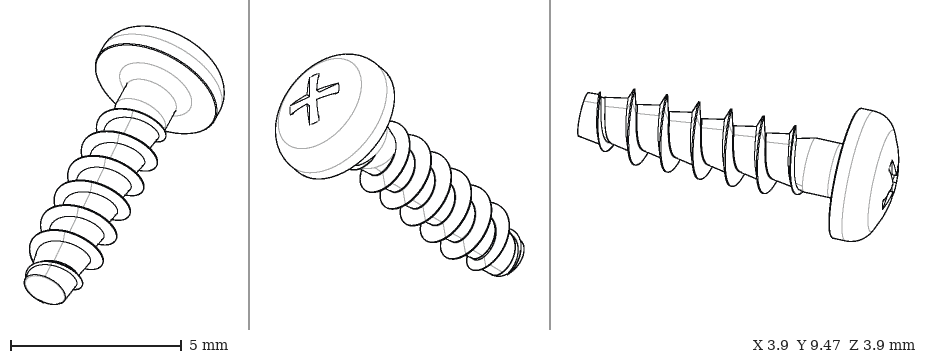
import cadquery as cq
import math


overall_length = 9.47

head_radius = 1.95
crown_height = 1.48
rim_height = 0.41
rim_chamfer = 0.03
shoulder_radius = 1.52
shoulder_height = 1.08
slot_width = 0.35
slot_depth = 0.13

neck_radius = 0.81
neck_length = 1.11
neck_fillet = 0.34
collar_length = 0.76
core_radius = 0.625
tip_cone_height = 0.02

six_pitches = 5.87
pitch = six_pitches / 6
crest_radius = 1.11
crest_width = 0.04
flank_width = 0.14
ramp_radius = 0.77
root_radius = core_radius + 0.02
inner_radius = core_radius - 0.19
ramp_reach = 0.805
crest_start_y = -1.39

first_turn = -0.75
last_turn = 6.75
full_height_first = 0.75
full_height_last = 5.25
start_height = 0.32
end_height = 0.02
full_ramp_share = 0.68
piece_turns = 0.5
steps_per_piece = 8

dome_rise = crown_height - shoulder_height
dome_radius = (shoulder_radius**2 + dome_rise**2) / (2 * dome_rise)


def dome_height(radius):
    """Height of the dome above the bearing face at a distance from the axis."""
    return crown_height - dome_radius + math.sqrt(dome_radius**2 - radius**2)


head_height = dome_height(slot_width / math.sqrt(2))
shank_length = overall_length - head_height


def make_blank():
    """Head, neck and core as one revolved solid."""
    dome_mid = shoulder_radius / 2
    fillet_mid = neck_fillet * (1 - math.sqrt(0.5))
    profile = (
        cq.Workplane("XY")
        .moveTo(0, -shank_length)
        .lineTo(core_radius, -shank_length + tip_cone_height)
        .lineTo(core_radius, -neck_length - collar_length)
        .lineTo(neck_radius, -neck_length)
        .lineTo(neck_radius, -neck_fillet)
        .threePointArc(
            (neck_radius + fillet_mid, -fillet_mid),
            (neck_radius + neck_fillet, 0),
        )
        .lineTo(head_radius - rim_chamfer, 0)
        .lineTo(head_radius, rim_chamfer)
        .lineTo(head_radius, rim_height)
        .tangentArcPoint((shoulder_radius, shoulder_height), relative=False)
        .threePointArc((dome_mid, dome_height(dome_mid)), (0, crown_height))
        .close()
    )
    return profile.revolve(360, (0, 0, 0), (0, 1, 0))


def make_slots():
    """Crossed slots over the crown of the head."""
    crown = cq.Workplane("XZ", origin=(0, crown_height, 0))
    first = crown.rect(slot_width, 2 * head_radius).extrude(slot_depth)
    second = crown.rect(2 * head_radius, slot_width).extrude(slot_depth)
    return first.union(second)


def thread_share(turn):
    """Share of the full thread height, fading at both ends of the helix."""
    if turn < full_height_first:
        progress = (turn - first_turn) / (full_height_first - first_turn)
        return start_height + (1 - start_height) * progress
    if turn > full_height_last:
        progress = (last_turn - turn) / (last_turn - full_height_last)
        return end_height + (1 - end_height) * progress
    return 1


def thread_section(turn):
    """Corners (axial offset toward the head, radius) of the thread section."""
    share = thread_share(turn)
    ramp_share = min(1, share / full_ramp_share)
    foot = flank_width * share
    half_crest = crest_width / 2 * share
    crest = root_radius + (crest_radius - root_radius) * share
    ramp = root_radius + (ramp_radius - root_radius) * ramp_share
    return [
        (foot, inner_radius),
        (foot, root_radius),
        (half_crest, crest),
        (-half_crest, crest),
        (-foot, ramp),
        (-ramp_reach, root_radius),
        (-ramp_reach, inner_radius),
    ]


def helix_point(turn, offset, radius):
    """Point on the helix, which runs from +X through +Z while moving to the tip."""
    angle = 2 * math.pi * turn
    y = crest_start_y - pitch * turn + offset
    return cq.Vector(radius * math.cos(angle), y, radius * math.sin(angle))


def make_thread_piece(start):
    """One piece of the thread and its ramp, as a solid with ruled sides."""
    turns = [start + piece_turns * step / steps_per_piece for step in range(steps_per_piece + 1)]
    sections = [[helix_point(turn, *corner) for corner in thread_section(turn)] for turn in turns]
    rails = [cq.Edge.makeSpline(list(points), parameters=turns) for points in zip(*sections)]
    next_rails = rails[1:] + rails[:1]
    faces = [cq.Face.makeRuledSurface(rail, other) for rail, other in zip(rails, next_rails)]
    for section in (sections[0], sections[-1]):
        faces.append(cq.Face.makeFromWires(cq.Wire.makePolygon(section, close=True)))
    return cq.Workplane(obj=cq.Solid.makeSolid(cq.Shell.makeShell(faces)).fix())


def make_thread_zone():
    """Cylinder that bounds the thread between the neck and the tip rim."""
    zone_length = shank_length - tip_cone_height - neck_length
    neck_end = cq.Workplane("XZ", origin=(0, -neck_length, 0))
    return neck_end.circle(head_radius).extrude(zone_length)


def make_thread_pieces():
    """All pieces of the thread, trimmed to the shank."""
    zone = make_thread_zone()
    piece_count = round((last_turn - first_turn) / piece_turns)
    starts = [first_turn + piece_turns * index for index in range(piece_count)]
    return [make_thread_piece(start).intersect(zone).val() for start in starts]


body = make_blank().cut(make_slots()).val()
screw = body.fuse(*make_thread_pieces())
result = cq.Workplane(obj=screw.Solids()[0])